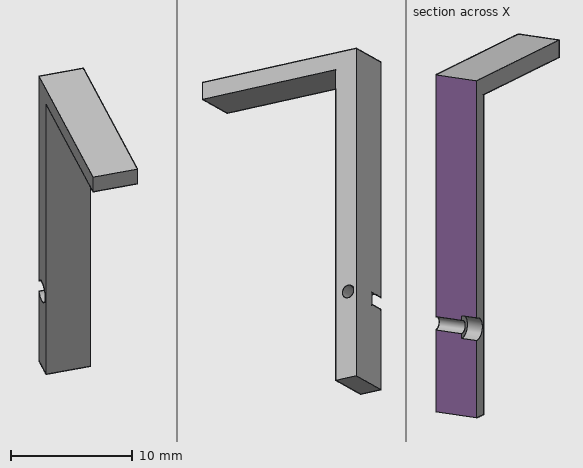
import cadquery as cq

arm_length = 15.0
depth = 3.85
height = 28.9

leg_thickness = 2.0
arm_thickness = 1.5

hole_x = 0.8
hole_z = 7.6
hole_diameter = 1.1
counterbore_diameter = 1.9
counterbore_depth = 1.4


def make_bracket():
    """Vertical leg with an arm along +X at its top; front face at Y = 0."""
    leg = cq.Workplane("XY").box(leg_thickness, depth, height, centered=False)
    arm = (
        cq.Workplane("XY")
        .workplane(offset=height - arm_thickness)
        .box(arm_length, depth, arm_thickness, centered=False)
    )
    return leg.union(arm)


def make_bore(diameter, length):
    """Cylinder running from the front face along +Y on the hole axis."""
    return (
        cq.Workplane("XZ")
        .center(hole_x, hole_z)
        .circle(diameter / 2)
        .extrude(-length)
    )


result = (
    make_bracket()
    .cut(make_bore(hole_diameter, depth))
    .cut(make_bore(counterbore_diameter, counterbore_depth))
)